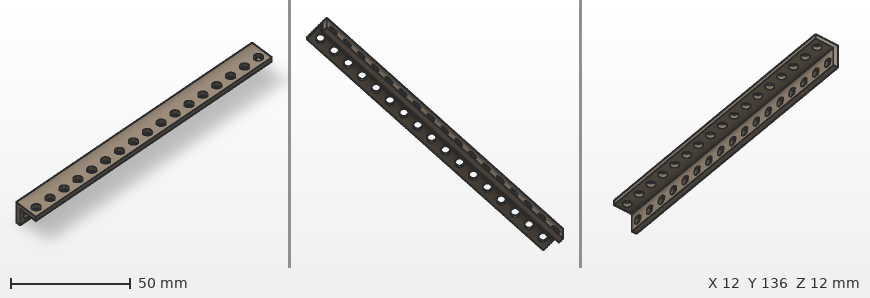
import cadquery as cq

leg_width = 12.0
leg_thickness = 2.5
hole_diameter = 4.0
hole_pitch = 8.0
hole_count = 17
length = hole_count * hole_pitch
hole_from_corner = 8.0


def angle_bar():
    """Solid L-section bar, centred on the origin."""
    block = cq.Workplane("XY").box(leg_width, length, leg_width)
    inner_width = leg_width - leg_thickness
    inner_space = (
        cq.Workplane("XY")
        .box(inner_width, length, inner_width)
        .translate((leg_thickness / 2, 0, -leg_thickness / 2))
    )
    return block.cut(inner_space)


def hole_row(plane, across):
    """Row of pins spaced along Y, at local offset `across` on an origin plane."""
    first = -(hole_count - 1) * hole_pitch / 2
    stations = [first + i * hole_pitch for i in range(hole_count)]
    if plane == "XY":
        points = [(across, y) for y in stations]
    else:
        points = [(y, across) for y in stations]
    return cq.Workplane(plane).pushPoints(points).circle(hole_diameter / 2).extrude(leg_width, both=True)


row_offset = hole_from_corner - leg_width / 2
result = angle_bar().cut(hole_row("XY", row_offset)).cut(hole_row("YZ", -row_offset))